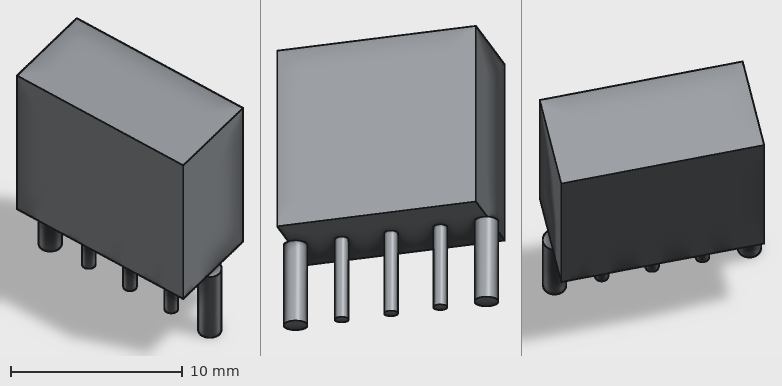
import cadquery as cq

total_height = 16.3
total_width = 12.99

housing_width = 12.1
housing_depth = 5.8
housing_height = 11.2

leg_length = total_height - housing_height
pin_diameter = 0.82
pin_pitch = 3.0
post_diameter = 1.39
post_offset = (total_width - post_diameter) / 2


def make_housing():
    """Plain block with its underside centred on the origin."""
    return cq.Workplane("XY").box(
        housing_width, housing_depth, housing_height, centered=(True, True, False)
    )


def make_leg(x, diameter):
    """Round leg hanging from the underside level at the given X."""
    return cq.Workplane("XY").center(x, 0).circle(diameter / 2).extrude(-leg_length)


housing = make_housing()
pins = [make_leg(x, pin_diameter) for x in (-pin_pitch, 0, pin_pitch)]
posts = [make_leg(x, post_diameter) for x in (-post_offset, post_offset)]

result = cq.Compound.makeCompound([
    housing.val(),
    *[pin.val() for pin in pins],
    *[post.val() for post in posts],
])